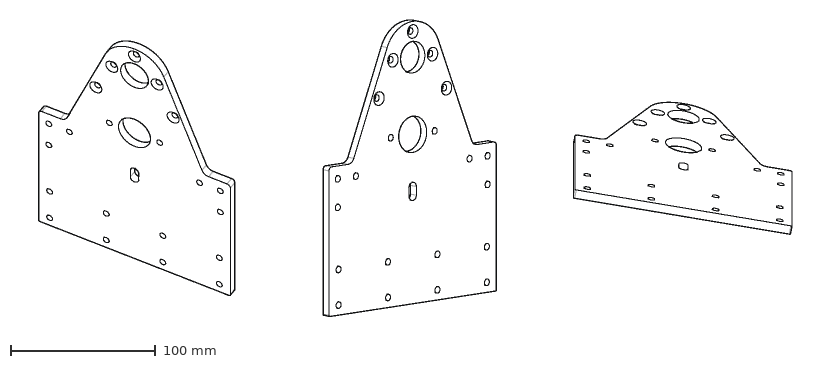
import cadquery as cq
import math

width = 152.5
height = 198.3
thickness = 6.3
shoulder_z = 104.9
neck_half_width = 55.1
head_radius = 25.2
neck_fillet = 5.8
shoulder_corner_radius = 2.5
bottom_corner_radius = 1.0

head_z = height - head_radius
head_bore = 22.0
middle_z = 119.0
middle_bore = 25.4

screw_hole = 4.5
countersink_diameter = 9.5
countersink_angle = 90
head_screw_radius = 18.0
side_screw_x = 30.7
side_screw_z = 147.7
middle_screw_x = 20.0

top_row_z = 95.8
second_row_z = 75.7
edge_hole_x = 68.2
inner_hole_x = 51.8
lower_rows_z = (32.1, 7.1)
lower_hole_pitch = 45.0
lower_hole_count = 4

slot_z = 79.0
slot_length = 12.7
slot_width = 6.5


def front_plane():
    """Sketch plane on the front face, with local axes X and Z."""
    return cq.Workplane("XZ")


def mirrored(x, z):
    """A point and its reflection about the centre line."""
    return [(-x, z), (x, z)]


def make_plate():
    half_width = width / 2
    rise = head_z - shoulder_z
    to_shoulder = math.atan2(-rise, neck_half_width)
    tangent_turn = math.acos(head_radius / math.hypot(neck_half_width, rise))
    tangent_angle = to_shoulder + tangent_turn
    tangent_x = head_radius * math.cos(tangent_angle)
    tangent_z = head_z + head_radius * math.sin(tangent_angle)

    plate = (
        front_plane()
        .moveTo(-half_width, 0)
        .lineTo(half_width, 0)
        .lineTo(half_width, shoulder_z)
        .lineTo(neck_half_width, shoulder_z)
        .lineTo(tangent_x, tangent_z)
        .threePointArc((0, height), (-tangent_x, tangent_z))
        .lineTo(-neck_half_width, shoulder_z)
        .lineTo(-half_width, shoulder_z)
        .close()
        .extrude(-thickness)
    )
    corners = (
        (neck_half_width, shoulder_z, neck_fillet),
        (half_width, shoulder_z, shoulder_corner_radius),
        (half_width, 0, bottom_corner_radius),
    )
    for x, z, radius in corners:
        for side_x in (-x, x):
            edge = cq.selectors.NearestToPointSelector((side_x, thickness / 2, z))
            plate = plate.edges("|Y").edges(edge).fillet(radius)
    return plate


def through_holes(points, diameter):
    return front_plane().pushPoints(points).circle(diameter / 2).extrude(-thickness)


def countersinks(points):
    """Cones that open at the front face and narrow to the screw hole."""
    large_radius = countersink_diameter / 2
    small_radius = screw_hole / 2
    depth = (large_radius - small_radius) / math.tan(math.radians(countersink_angle / 2))
    cones = cq.Workplane()
    for x, z in points:
        start = cq.Vector(x, 0, z)
        cone = cq.Solid.makeCone(large_radius, small_radius, depth, start, cq.Vector(0, 1, 0))
        cones = cones.add(cone)
    return cones.combine()


def mounting_hole_points():
    points = mirrored(edge_hole_x, top_row_z)
    points += mirrored(inner_hole_x, top_row_z)
    points += mirrored(edge_hole_x, second_row_z)
    for z in lower_rows_z:
        for i in range(lower_hole_count):
            x = (i - (lower_hole_count - 1) / 2) * lower_hole_pitch
            points.append((x, z))
    return points


countersunk_points = (
    [(0, head_z + head_screw_radius)]
    + mirrored(head_screw_radius, head_z)
    + mirrored(side_screw_x, side_screw_z)
)
plain_points = mirrored(middle_screw_x, middle_z) + mounting_hole_points()

slot = front_plane().center(0, slot_z).slot2D(slot_length, slot_width, 90).extrude(-thickness)

result = (
    make_plate()
    .cut(through_holes([(0, head_z)], head_bore))
    .cut(through_holes([(0, middle_z)], middle_bore))
    .cut(through_holes(countersunk_points + plain_points, screw_hole))
    .cut(countersinks(countersunk_points))
    .cut(slot)
    .solids()
)